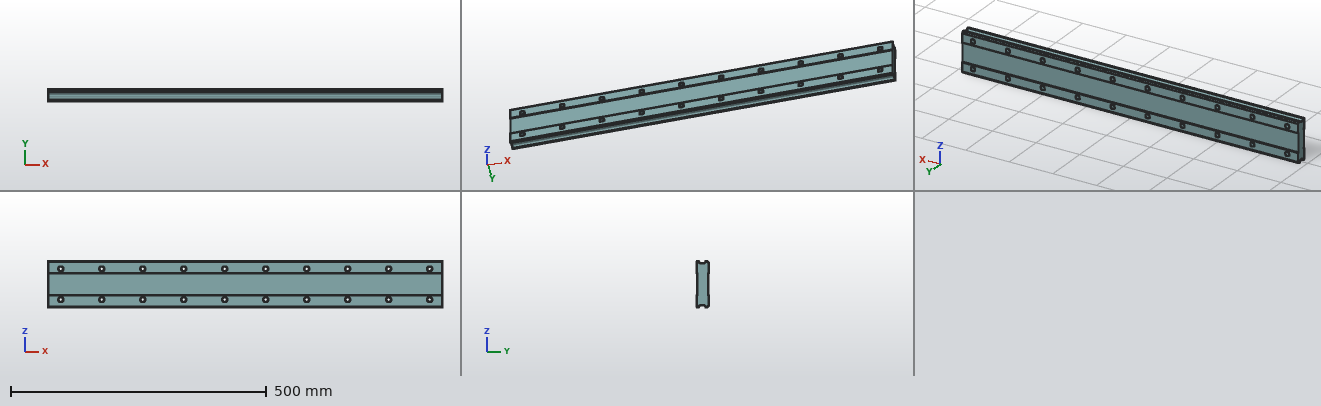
import cadquery as cq
import math

length = 770.0
thickness = 24.0
height = 90.0

groove_center_y = -1.15
groove_floor_width = 5.0
groove_mouth_width = 14.0
groove_depth = 4.0

crest_width = 2.7

recess_floor_height = 41.5
recess_depth = 1.15
recess_wall_rise = 1.0

hole_diameter = 9.0
hole_row_spacing = 60.0
holes_per_row = 10
hole_end_margin = 25.0
hole_pitch = (length - 2 * hole_end_margin) / (holes_per_row - 1)


def groove_arc_middle():
    """Middle of a groove wall arc tangent to the floor: (offset from groove centre, rise)."""
    floor_edge = groove_floor_width / 2
    wall_run = groove_mouth_width / 2 - floor_edge
    radius = (wall_run**2 + groove_depth**2) / (2 * groove_depth)
    half_angle = math.atan(groove_depth / wall_run)
    return floor_edge + radius * math.sin(half_angle), radius * (1 - math.cos(half_angle))


def upper_half_body():
    """Extrude the upper half of the cross-section, from the middle plane Z = 0 to the crests."""
    side = thickness / 2
    recess_side = side - recess_depth
    recess_edge = recess_floor_height / 2
    shoulder = recess_edge + recess_wall_rise

    top = height / 2
    groove_floor = top - groove_depth
    floor_edge = groove_floor_width / 2
    crest_inner = groove_mouth_width / 2
    crest_outer = crest_inner + crest_width
    arc_offset, arc_rise = groove_arc_middle()

    back_chamfer = side - (groove_center_y + crest_outer)
    front_chamfer = side + (groove_center_y - crest_outer)

    return (
        cq.Workplane("YZ", origin=(-length / 2, 0, 0))
        .moveTo(-recess_side, 0)
        .lineTo(-recess_side, recess_edge)
        .lineTo(-side, shoulder)
        .lineTo(-side, top - front_chamfer)
        .lineTo(groove_center_y - crest_outer, top)
        .lineTo(groove_center_y - crest_inner, top)
        .threePointArc(
            (groove_center_y - arc_offset, groove_floor + arc_rise),
            (groove_center_y - floor_edge, groove_floor),
        )
        .lineTo(groove_center_y + floor_edge, groove_floor)
        .threePointArc(
            (groove_center_y + arc_offset, groove_floor + arc_rise),
            (groove_center_y + crest_inner, top),
        )
        .lineTo(groove_center_y + crest_outer, top)
        .lineTo(side, top - back_chamfer)
        .lineTo(side, shoulder)
        .lineTo(recess_side, recess_edge)
        .lineTo(recess_side, 0)
        .close()
        .extrude(length)
    )


def rail_body():
    """Join the upper half with its mirror image below the middle plane."""
    upper = upper_half_body()
    return upper.union(upper.mirror("XY")).clean()


def mounting_holes():
    """Two rows of through holes, one near each long edge."""
    return (
        cq.Workplane("XZ")
        .rarray(hole_pitch, hole_row_spacing, holes_per_row, 2)
        .circle(hole_diameter / 2)
        .extrude(thickness, both=True)
    )


result = rail_body().cut(mounting_holes())